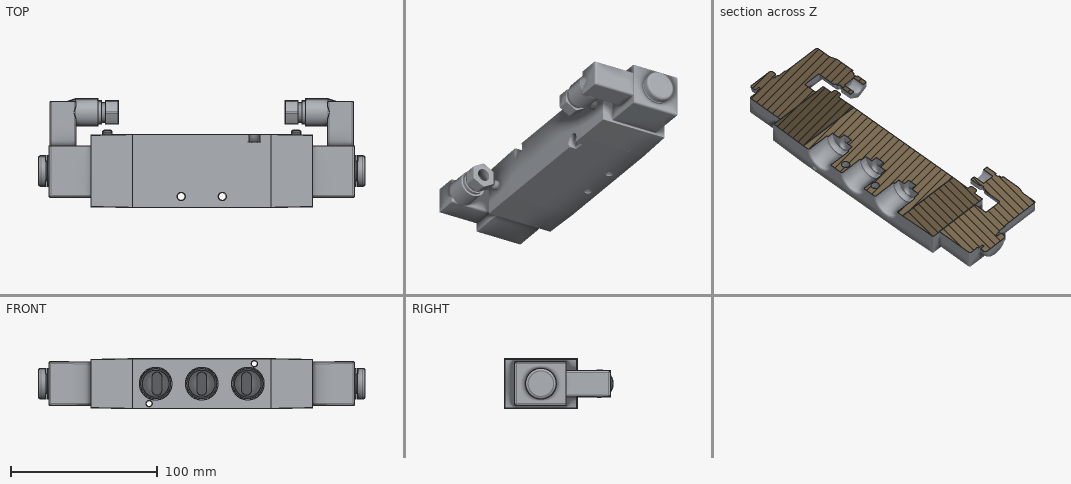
import cadquery as cq

OVERALL_LENGTH = 222.8

BODY_LENGTH = 94.5
BODY_WIDTH = 50.0
BODY_HEIGHT = 34.0
PORT_PITCH = 31.5
PORT_MOUTH_RADIUS = 11.1
PORT_MOUTH_DEPTH = 0.5
PORT_RADIUS = 10.2
PORT_STEP_DEPTH = 17.8
PORT_STEP_RADIUS = 9.1
PORT_DEPTH = 22.3
SLOT_HEIGHT = 15.8
SLOT_WIDTH = 6.7
SLOT_DEPTH = 4.5
SLOT_SHIFT = 1.0
SIDE_HOLE_DIAMETER = 5.3
SIDE_HOLE_SPACING = 28.0
SIDE_HOLE_Y = -17.4
BOLT_HOLE_DIAMETER = 4.0
BOLT_X = 35.9
BOLT_Z = 13.5
COUNTERBORE_DIAMETER = 10.2
COUNTERBORE_DEPTH = 5.3

CAP_LENGTH = 28.3
CAP_DRAFT = 0.55
BUTTON_DIAMETER = 6.5
BUTTON_X = 64.5
BUTTON_TOP_Y = 27.8
BUTTON_FILLET = 1.5

COIL_END_X = 104.3
COIL_FRONT_Y = -18.0
COIL_BACK_Y = 17.2
COIL_END_HEIGHT = 30.0
COIL_ROOT_HEIGHT = 29.6
EDGE_FILLET = 1.3

CONNECTOR_INNER_X = 85.5
CONNECTOR_OUTER_X = 103.5
CONNECTOR_BACK_Y = 47.5
CONNECTOR_HEIGHT = 18.0

GLAND_Y = 39.9
GLAND_RADIUS = 9.4
GLAND_CONE_TIP_X = 92.2
GLAND_CONE_TIP_RADIUS = 7.4
GLAND_CONE_BASE_X = 86.0
GLAND_END_X = 70.9
COLLAR_RADIUS = 8.0
COLLAR_END_X = 68.5
NECK_RADIUS = 7.0
NECK_END_X = 65.7
NUT_END_X = 56.8
NUT_ACROSS_FLATS = 16.0
NUT_EDGE_FILLET = 1.3
CABLE_BORE_DIAMETER = 9.0

KNOB_DIAMETER = 21.0
KNOB_FILLET = 1.8
KNOB_INNER_X = 106.3
KNOB_NECK_DIAMETER = 13.4
FLANGE_OUTER_X = 105.2

BODY_END_X = BODY_LENGTH / 2
CAP_END_X = BODY_END_X + CAP_LENGTH
BODY_FRONT_Y = -BODY_WIDTH / 2
BODY_BACK_Y = BODY_WIDTH / 2
KNOB_END_X = OVERALL_LENGTH / 2
OVERLAP = 1.1


def box_between(x0, x1, y0, y1, height):
    """Box with the given X and Y limits, centred on Z = 0."""
    return cq.Workplane("XY").box(x1 - x0, y1 - y0, height).translate(((x0 + x1) / 2, (y0 + y1) / 2, 0))


def cylinder_along_x(x0, x1, diameter, y=0.0):
    return cq.Workplane("YZ", origin=(x0, y, 0)).circle(diameter / 2).extrude(x1 - x0)


def cylinder_along_y(x, z, y0, y1, diameter):
    return cq.Workplane("XZ", origin=(x, y0, z)).circle(diameter / 2).extrude(y0 - y1)


def port_cutter(side):
    """Stepped round port in the front face, ending in an upright slot; side is -1, 0 or 1."""
    port_x = side * PORT_PITCH
    floor_y = BODY_FRONT_Y + PORT_DEPTH
    bore = (
        cq.Workplane("XY", origin=(port_x, BODY_FRONT_Y, 0))
        .lineTo(PORT_MOUTH_RADIUS, 0)
        .lineTo(PORT_RADIUS, PORT_MOUTH_DEPTH)
        .lineTo(PORT_RADIUS, PORT_STEP_DEPTH)
        .lineTo(PORT_STEP_RADIUS, PORT_STEP_DEPTH)
        .lineTo(PORT_STEP_RADIUS, PORT_DEPTH)
        .lineTo(0, PORT_DEPTH)
        .close()
        .revolve(360, (0, 0, 0), (0, 1, 0))
    )
    slot = (
        cq.Workplane("XZ", origin=(port_x - side * SLOT_SHIFT, floor_y - OVERLAP, 0))
        .slot2D(SLOT_HEIGHT, SLOT_WIDTH, 90)
        .extrude(-(SLOT_DEPTH + OVERLAP))
    )
    return bore.union(slot)


def make_valve_body():
    body = cq.Workplane("XY").box(BODY_LENGTH, BODY_WIDTH, BODY_HEIGHT)
    for side in (-1, 0, 1):
        body = body.cut(port_cutter(side))

    side_holes = (
        cq.Workplane("XY", origin=(0, SIDE_HOLE_Y, -BODY_HEIGHT / 2))
        .rarray(SIDE_HOLE_SPACING, 2.2, 2, 1)
        .circle(SIDE_HOLE_DIAMETER / 2)
        .extrude(BODY_HEIGHT)
    )
    body = body.cut(side_holes)

    for side in (-1, 1):
        x = side * BOLT_X
        z = side * BOLT_Z
        body = body.cut(cylinder_along_y(x, z, BODY_FRONT_Y, BODY_BACK_Y, BOLT_HOLE_DIAMETER))
        seat_y = BODY_BACK_Y - COUNTERBORE_DEPTH
        body = body.cut(cylinder_along_y(x, z, seat_y, BODY_BACK_Y, COUNTERBORE_DIAMETER))
    return body


def make_end_cap():
    """Drafted block at the +X end of the body, with a round button on its back face."""
    block = (
        cq.Workplane("YZ", origin=(BODY_END_X, 0, 0))
        .rect(BODY_WIDTH, BODY_HEIGHT)
        .workplane(offset=CAP_LENGTH)
        .rect(BODY_WIDTH - 2 * CAP_DRAFT, BODY_HEIGHT - 2 * CAP_DRAFT)
        .loft(ruled=True)
    )
    button_root_y = BODY_BACK_Y - CAP_DRAFT - OVERLAP
    button = cylinder_along_y(BUTTON_X, 0, button_root_y, BUTTON_TOP_Y, BUTTON_DIAMETER)
    button = button.faces(">Y").edges().fillet(BUTTON_FILLET)
    return block.union(button)


def make_coil():
    """Coil block, slightly taller at its outer end, rounded on its outer and front edges."""
    coil = (
        cq.Workplane("XZ", origin=(0, COIL_BACK_Y, 0))
        .moveTo(CAP_END_X, -COIL_ROOT_HEIGHT / 2)
        .lineTo(COIL_END_X, -COIL_END_HEIGHT / 2)
        .lineTo(COIL_END_X, COIL_END_HEIGHT / 2)
        .lineTo(CAP_END_X, COIL_ROOT_HEIGHT / 2)
        .close()
        .extrude(COIL_BACK_Y - COIL_FRONT_Y)
    )
    return coil.faces(">X or <Y").edges("(not >Y) and (not <X)").fillet(EDGE_FILLET)


def make_connector():
    """Flat plug rising from the back of the coil, rounded around its inner and outer faces."""
    plug = box_between(
        CONNECTOR_INNER_X, CONNECTOR_OUTER_X, COIL_BACK_Y - OVERLAP, CONNECTOR_BACK_Y, CONNECTOR_HEIGHT
    )
    return plug.faces("<X or >X").edges("not <Y").fillet(EDGE_FILLET)


def make_gland():
    """Turned cable gland pointing towards the middle of the valve, with a hexagonal nut."""
    turned = (
        cq.Workplane("XY", origin=(0, GLAND_Y, 0))
        .moveTo(GLAND_CONE_TIP_X, 0)
        .lineTo(GLAND_CONE_TIP_X, GLAND_CONE_TIP_RADIUS)
        .lineTo(GLAND_CONE_BASE_X, GLAND_RADIUS)
        .lineTo(GLAND_END_X, GLAND_RADIUS)
        .lineTo(GLAND_END_X, COLLAR_RADIUS)
        .lineTo(COLLAR_END_X, COLLAR_RADIUS)
        .lineTo(COLLAR_END_X, NECK_RADIUS)
        .lineTo(NECK_END_X, NECK_RADIUS)
        .lineTo(NECK_END_X, 0)
        .close()
        .revolve(360, (0, 0, 0), (1, 0, 0))
    )
    nut = (
        cq.Workplane("YZ", origin=(NUT_END_X, GLAND_Y, 0))
        .polygon(6, NUT_ACROSS_FLATS, circumscribed=True)
        .extrude(NECK_END_X - NUT_END_X)
        .edges("|X")
        .fillet(NUT_EDGE_FILLET)
    )
    bore = cylinder_along_x(NUT_END_X, NECK_END_X, CABLE_BORE_DIAMETER, GLAND_Y)
    return turned.union(nut.cut(bore))


def make_knob():
    """Retaining knob on the coil's outer face: flange, neck and rounded head."""
    flange = cylinder_along_x(COIL_END_X - OVERLAP, FLANGE_OUTER_X, KNOB_DIAMETER)
    neck = cylinder_along_x(FLANGE_OUTER_X - OVERLAP, KNOB_INNER_X + OVERLAP, KNOB_NECK_DIAMETER)
    head = cylinder_along_x(KNOB_INNER_X, KNOB_END_X, KNOB_DIAMETER)
    head = head.faces(">X").edges().fillet(KNOB_FILLET)
    return flange.union(neck).union(head)


def make_solenoid():
    return make_coil().union(make_connector()).union(make_gland()).union(make_knob())


valve_body = make_valve_body().solids().val()

end_caps = []
solenoids = []
for make_end_body, copies in ((make_end_cap, end_caps), (make_solenoid, solenoids)):
    right_body = make_end_body().solids().val()
    copies.append(right_body)
    copies.append(right_body.mirror("YZ"))

result = cq.Compound.makeCompound([valve_body, *end_caps, *solenoids])